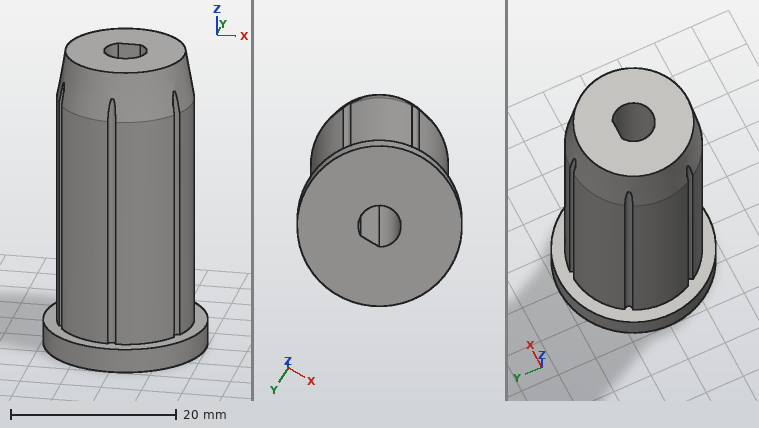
import cadquery as cq

total_height = 38.0
flange_diameter = 20.0
flange_height = 3.0

body_diameter = 16.7
tip_diameter = 14.6
taper_height = 6.0
body_height = total_height - flange_height - taper_height

bore_diameter = 5.15
bore_flat_offset = 2.2

groove_count = 6
groove_diameter = 1.0
first_groove_angle = 90.0


def make_body():
    """Flange, straight sleeve and tapered tip, turned about Z."""
    profile = (
        cq.Workplane("XZ")
        .lineTo(flange_diameter / 2, 0)
        .lineTo(flange_diameter / 2, flange_height)
        .lineTo(body_diameter / 2, flange_height)
        .lineTo(body_diameter / 2, flange_height + body_height)
        .lineTo(tip_diameter / 2, total_height)
        .lineTo(0, total_height)
        .close()
    )
    return profile.revolve(360, (0, 0), (0, 1))


def make_bore():
    """Through bore with one flat side."""
    below_flat = (
        cq.Workplane("XY")
        .center(0, bore_flat_offset - bore_diameter / 2)
        .rect(bore_diameter, bore_diameter)
        .extrude(total_height)
    )
    return cq.Workplane("XY").circle(bore_diameter / 2).extrude(total_height).intersect(below_flat)


def make_grooves():
    """Rods centred on the sleeve surface; each runs out where the taper leaves it."""
    return (
        cq.Workplane("XY", origin=(0, 0, flange_height))
        .polarArray(body_diameter / 2, first_groove_angle, 360, groove_count)
        .circle(groove_diameter / 2)
        .extrude(total_height - flange_height)
    )


result = make_body().cut(make_bore()).cut(make_grooves())